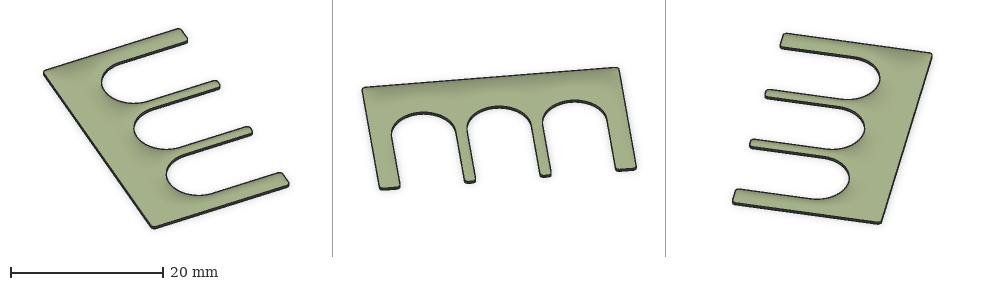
import cadquery as cq

length = 34.0
depth = 20.0
thickness = 0.37
corner_radius = 0.5

slot_count = 3
slot_pitch = 10.0
slot_width = 8.5
slot_straight_length = depth / 2


def plate():
    return cq.Workplane("XY").box(length, depth, thickness, centered=(True, True, False))


def open_slot(x_center):
    """Cutter with straight sides from the +Y edge and a semicircular inner end."""
    radius = slot_width / 2
    y_mouth = depth / 2
    y_arc = y_mouth - slot_straight_length
    return (
        cq.Workplane("XY")
        .moveTo(x_center - radius, y_mouth)
        .lineTo(x_center - radius, y_arc)
        .threePointArc((x_center, y_arc - radius), (x_center + radius, y_arc))
        .lineTo(x_center + radius, y_mouth)
        .close()
        .extrude(thickness)
    )


body = plate()
for index in range(slot_count):
    x_center = (index - (slot_count - 1) / 2) * slot_pitch
    body = body.cut(open_slot(x_center))

front_corners = body.faces("<Y").edges("|Z")
finger_tips = body.faces(">Y").edges("|Z")
result = body.newObject(front_corners.vals() + finger_tips.vals()).fillet(corner_radius)